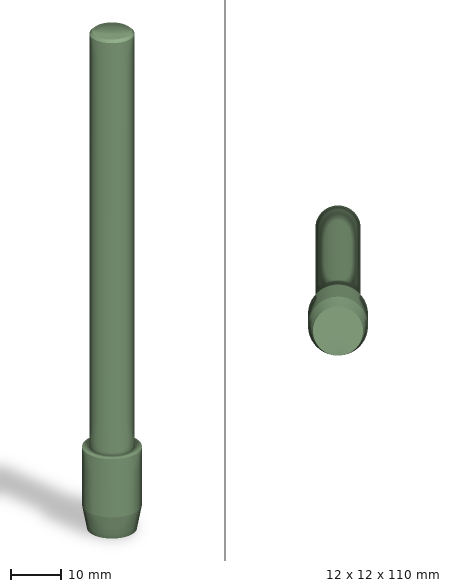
import cadquery as cq

rod_length = 110.0
rod_diameter = 9.0
rod_chamfer = 0.5

sleeve_length = 18.0
sleeve_diameter = 12.0
taper_length = 5.2
taper_end_diameter = 10.0


def make_rod():
    """Round rod with a chamfered top edge."""
    rod = cq.Workplane("XY").circle(rod_diameter / 2).extrude(rod_length)
    return rod.faces(">Z").edges().chamfer(rod_chamfer)


def make_sleeve():
    """Sleeve bored through for the rod, its outside tapering toward the bottom."""
    bore_radius = rod_diameter / 2
    outer_radius = sleeve_diameter / 2
    return (
        cq.Workplane("XZ")
        .moveTo(bore_radius, 0)
        .lineTo(taper_end_diameter / 2, 0)
        .lineTo(outer_radius, taper_length)
        .lineTo(outer_radius, sleeve_length)
        .lineTo(bore_radius, sleeve_length)
        .close()
        .revolve(360, (0, 0, 0), (0, 1, 0))
    )


rod = make_rod()
sleeve = make_sleeve()

result = cq.Compound.makeCompound([rod.val(), sleeve.val()])